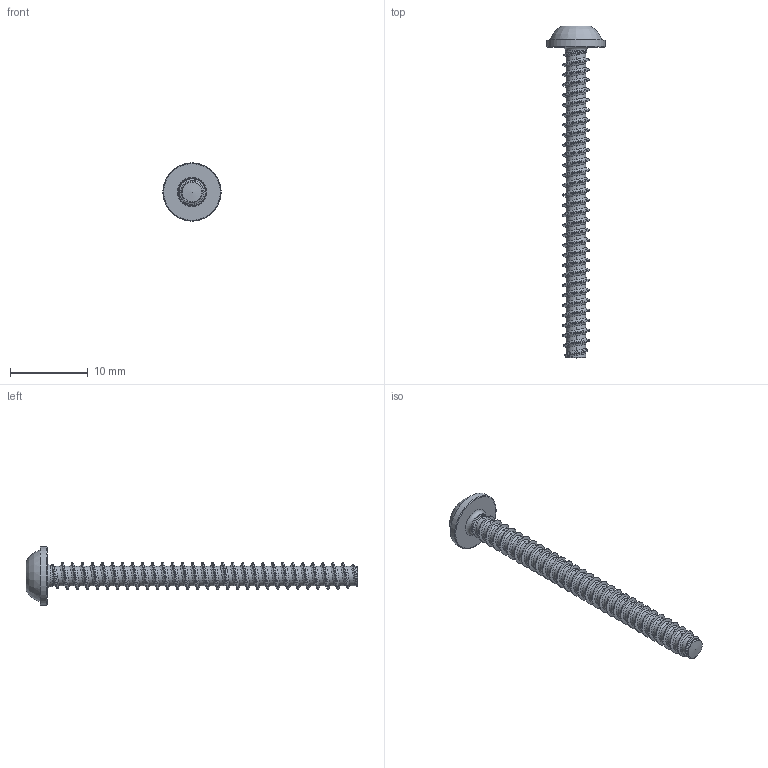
import cadquery as cq
import math


flange_diameter = 7.5
flange_thickness = 0.9
flange_edge_fillet = 0.1
head_height = 2.7
dome_base_diameter = 6.6
dome_top_diameter = 3.7
dome_bulge = 0.27

shank_length = 40.0
neck_diameter = 2.75
neck_length = 0.75
neck_taper_length = 0.1
under_head_fillet = 0.5
core_diameter = 2.55
tip_cone_height = 0.1

thread_diameter = 3.5
pitch = 1.289
first_crest_y = -1.65
first_full_turn = 0.2
full_turns = 27.8
head_run_out_turns = 1.5
tip_run_out_turns = 2.0
run_out_scale = 0.1
crest_width = 0.1
flank_half_angle = 15.0
foot_height = 0.12
tip_side_foot = 0.4
head_side_foot = 0.4
foot_overlap = 0.05

flange_radius = flange_diameter / 2
neck_radius = neck_diameter / 2
core_radius = core_diameter / 2
thread_radius = thread_diameter / 2
tip_rim_y = -shank_length + tip_cone_height


def make_body():
    """Head, neck and plain core, revolved about the Y axis."""
    base_radius = dome_base_diameter / 2
    top_radius = dome_top_diameter / 2
    dome_height = head_height - flange_thickness
    chord = math.hypot(base_radius - top_radius, dome_height)
    dome_middle = (
        (base_radius + top_radius) / 2 + dome_bulge * dome_height / chord,
        (flange_thickness + head_height) / 2 + dome_bulge * (base_radius - top_radius) / chord,
    )
    fillet_middle = under_head_fillet * (1 - math.sqrt(0.5))
    edge_middle = flange_edge_fillet * (1 - math.sqrt(0.5))
    outline = (
        cq.Workplane("ZY")
        .moveTo(0, head_height)
        .lineTo(top_radius, head_height)
        .threePointArc(dome_middle, (base_radius, flange_thickness))
        .lineTo(flange_radius, flange_thickness)
        .lineTo(flange_radius, flange_edge_fillet)
        .threePointArc(
            (flange_radius - edge_middle, edge_middle),
            (flange_radius - flange_edge_fillet, 0),
        )
        .lineTo(neck_radius + under_head_fillet, 0)
        .threePointArc(
            (neck_radius + fillet_middle, -fillet_middle),
            (neck_radius, -under_head_fillet),
        )
        .lineTo(neck_radius, -neck_length)
        .lineTo(core_radius, -neck_length - neck_taper_length)
        .lineTo(core_radius, tip_rim_y)
        .lineTo(0, -shank_length)
        .close()
    )
    return outline.revolve(360, (0, 0), (0, 1))


def helix_edge(start_z, turns, start_radius, end_radius):
    """Helix about Z that starts at +X and changes radius evenly along its turns."""
    growth_per_turn = (end_radius - start_radius) / turns
    slant_pitch = math.hypot(growth_per_turn, pitch)
    cone_half_angle = math.degrees(math.atan2(growth_per_turn, pitch))
    if growth_per_turn == 0:
        helix = cq.Wire.makeHelix(pitch, turns * pitch, start_radius)
    else:
        helix = cq.Wire.makeHelix(slant_pitch, turns * slant_pitch, start_radius, angle=cone_half_angle)
    return helix.translate(cq.Vector(0, 0, start_z)).Edges()[0]


def thread_section():
    """Ridge corners as (height above the core, offset along the axis), from tip side to head side."""
    crest_height = thread_radius - core_radius
    crest_half = crest_width / 2
    knee_half = crest_half + (crest_height - foot_height) * math.tan(math.radians(flank_half_angle))
    overlap_share = foot_overlap / foot_height
    tip_side_root = tip_side_foot + (tip_side_foot - knee_half) * overlap_share
    head_side_root = head_side_foot + (head_side_foot - knee_half) * overlap_share
    return [
        (-foot_overlap, -tip_side_root),
        (foot_height, -knee_half),
        (crest_height, -crest_half),
        (crest_height, crest_half),
        (foot_height, knee_half),
        (-foot_overlap, head_side_root),
    ]


def scaled_radius(height, scale):
    """Radius of a ridge corner; corners above the core shrink with the scale, the root stays."""
    return core_radius + (height * scale if height > 0 else height)


def thread_rails(start_z, turns, start_scale, end_scale):
    """Helical edges of one stretch of the ridge, one along each corner of its section."""
    start_angle = 360 * (start_z - first_crest_y) / pitch
    rails = []
    for height, offset in thread_section():
        start_radius = scaled_radius(height, start_scale)
        end_radius = scaled_radius(height, end_scale)
        rail = helix_edge(start_z + offset, turns, start_radius, end_radius)
        rails.append(rail.rotate(cq.Vector(0, 0, 0), cq.Vector(0, 0, 1), start_angle))
    return rails


def side_faces(rails):
    """Helical faces between neighbouring rails."""
    return [cq.Face.makeRuledSurface(rail, other) for rail, other in zip(rails, rails[1:] + rails[:1])]


def cap_face(rails, end):
    """Flat face closing the ridge at the start (0) or the finish (1) of its rails."""
    corners = [rail.positionAt(end) for rail in rails]
    return cq.Face.makeFromWires(cq.Wire.makePolygon(corners, close=True))


def make_thread():
    """Ridge of tip run-out, full thread and head run-out, built along Z and laid along Y."""
    head_full_z = first_crest_y - first_full_turn * pitch
    tip_full_z = head_full_z - full_turns * pitch
    tip_start_z = tip_full_z - tip_run_out_turns * pitch
    tip_run_out = thread_rails(tip_start_z, tip_run_out_turns, run_out_scale, 1)
    full_thread = thread_rails(tip_full_z, full_turns, 1, 1)
    head_run_out = thread_rails(head_full_z, head_run_out_turns, 1, run_out_scale)

    faces = [cap_face(tip_run_out, 0), cap_face(head_run_out, 1)]
    for rails in (tip_run_out, full_thread, head_run_out):
        faces += side_faces(rails)
    ridge = cq.Workplane(cq.Solid.makeSolid(cq.Shell.makeShell(faces)))
    return ridge.rotate((0, 0, 0), (1, 0, 0), -90)


def beyond_tip():
    """Block clearing everything past the rim of the tip."""
    size = 2 * thread_diameter
    return cq.Workplane("XY").box(size, size, size).translate((0, tip_rim_y - size / 2, 0))


thread = make_thread().cut(beyond_tip())
result = make_body().union(thread)